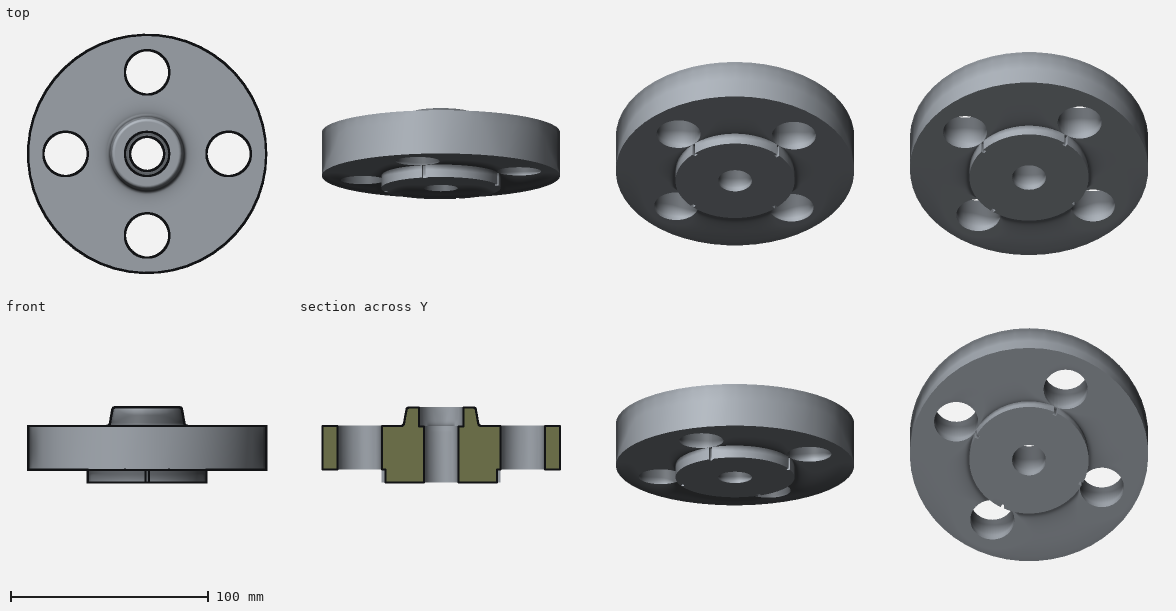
import cadquery as cq
import math


flange_diameter = 120.6
flange_thickness = 22.3

face_diameter = 60.3
face_height = 6.4

notch_count = 4
notch_width = 1.8
notch_depth = 1.8

hub_height = 9.4
hub_base_diameter = 38.2
hub_draft = math.radians(10)
hub_fillet = 1.6

socket_diameter = 22.4
socket_depth = 9.5
bore_diameter = 17.1

bolt_count = 4
bolt_circle_diameter = 82.5
bolt_hole_diameter = 22.3

face_radius = face_diameter / 2
hub_top = flange_thickness + hub_height
hub_base_radius = hub_base_diameter / 2
hub_top_radius = hub_base_radius - hub_height * math.tan(hub_draft)
socket_floor = hub_top - socket_depth


def make_body():
    """Revolve the solid outline of raised face, disc and tapered hub."""
    return (
        cq.Workplane("XZ")
        .moveTo(0, -face_height)
        .lineTo(face_radius, -face_height)
        .lineTo(face_radius, 0)
        .lineTo(flange_diameter / 2, 0)
        .lineTo(flange_diameter / 2, flange_thickness)
        .lineTo(hub_base_radius, flange_thickness)
        .lineTo(hub_top_radius, hub_top)
        .lineTo(0, hub_top)
        .close()
        .revolve(360, (0, 0, 0), (0, 1, 0))
    )


def round_hub(body):
    """Round the hub's top rim and its junction with the disc."""
    rim = cq.selectors.RadiusNthSelector(0)
    rounded = body.faces(">Z").edges(rim).fillet(hub_fillet)
    point_on_disc = (bolt_circle_diameter / 2, 0, flange_thickness)
    disc_top = rounded.faces(cq.selectors.NearestToPointSelector(point_on_disc))
    return disc_top.edges(rim).fillet(hub_fillet)


def cut_bore(body):
    """Cut the pipe socket and the smaller bore through the raised face."""
    socket_plane = cq.Workplane("XY").workplane(offset=socket_floor)
    socket = socket_plane.circle(socket_diameter / 2).extrude(socket_depth)
    bore_plane = cq.Workplane("XY").workplane(offset=-face_height)
    bore = bore_plane.circle(bore_diameter / 2).extrude(face_height + socket_floor)
    return body.cut(socket).cut(bore)


def cut_bolt_holes(body):
    """Cut the evenly spaced bolt holes through the disc."""
    holes = (
        cq.Workplane("XY")
        .polarArray(bolt_circle_diameter / 2, 0, 360, bolt_count)
        .circle(bolt_hole_diameter / 2)
        .extrude(flange_thickness)
    )
    return body.cut(holes)


def cut_notches(body):
    """Cut the blind notches into the rim of the raised face, over its full height."""
    notches = (
        cq.Workplane("XY")
        .workplane(offset=-face_height)
        .polarArray(face_radius, 0, 360, notch_count)
        .rect(2 * notch_depth, notch_width)
        .extrude(face_height)
    )
    return body.cut(notches)


body = round_hub(make_body())
body = cut_bore(body)
body = cut_bolt_holes(body)
result = cut_notches(body)